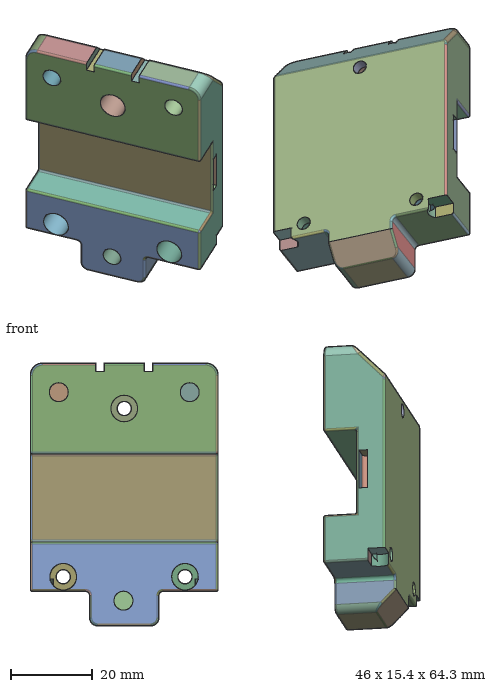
import cadquery as cq
import math

WIDTH = 46.0
DEPTH = 15.35
HEIGHT = 64.3

BODY_BOTTOM = 8.4
TAB_WIDTH = 17.0
TOP_CORNER_RADIUS = 3.0
TAB_CORNER_RADIUS = 2.0
TAB_ROOT_RADIUS = 1.0

TOP_BEVEL = 8.4
TAB_BEVEL = 5.15
CHANNEL_DEPTH = 8.2
CHANNEL_BOTTOM = 20.6
CHANNEL_TOP = 42.05

EDGE_RADIUS = 0.5
BEVEL_EDGE_RADIUS = 0.95
CHANNEL_CORNER_RADIUS = 0.45
TOLERANCE = 0.005

SCREW_DIAMETER = 3.4
HEAD_DIAMETER = 6.5
HEAD_SEAT = 3.0
SCREW_POSITIONS = [(0, 53.2), (-14.9, 12.0), (14.85, 12.0)]

PIN_DIAMETER = 4.6
PIN_DEPTH = 10.0
PIN_POSITIONS = [(-16.0, 57.15), (16.0, 57.15), (-0.2, 6.2)]

GROOVE_WIDTH = 2.0
GROOVE_DEPTH = 2.05
GROOVE_OFFSET = 5.9

RECESS_DEPTH = 4.3
RECESS_TOP = 11.45
RECESS_END_RADIUS = 3.0
RECESS_END = 17.3

SLOT_BACK = 4.4
SLOT_FRONT = 6.5
SLOT_BOTTOM = 27.0
SLOT_TOP = 36.65
SLOT_LENGTH = 5.15
SLOT_CORNER_RADIUS = 1.1


def box(x_range, y_range, z_range):
    corner = (x_range[0], y_range[0], z_range[0])
    size = (x_range[1] - x_range[0], y_range[1] - y_range[0], z_range[1] - z_range[0])
    return cq.Workplane("XY").box(*size, centered=False).translate(corner)


def front_bore(position, diameter, depth):
    x, z = position
    return cq.Workplane("XZ", origin=(x, 0, z)).circle(diameter / 2).extrude(-depth)


def make_body():
    """Tabbed front outline crossed with the bevelled, channelled side profile."""
    half, tab_half = WIDTH / 2, TAB_WIDTH / 2
    outline = (
        cq.Workplane("XZ")
        .polyline([
            (-half, HEIGHT), (-half, BODY_BOTTOM), (-tab_half, BODY_BOTTOM), (-tab_half, 0),
            (tab_half, 0), (tab_half, BODY_BOTTOM), (half, BODY_BOTTOM), (half, HEIGHT),
        ])
        .close()
        .extrude(-DEPTH)
    )
    outline = outline.edges("|Y and >Z").fillet(TOP_CORNER_RADIUS)
    outline = outline.edges("|Y and <Z").fillet(TAB_CORNER_RADIUS)
    roots = cq.selectors.BoxSelector(
        (-tab_half - TOLERANCE, 0, BODY_BOTTOM - TOLERANCE),
        (tab_half + TOLERANCE, DEPTH, BODY_BOTTOM + TOLERANCE),
    )
    outline = outline.edges("|Y").edges(roots).fillet(TAB_ROOT_RADIUS)

    profile = (
        cq.Workplane("YZ", origin=(-half, 0, 0))
        .polyline([
            (0, 0), (DEPTH - TAB_BEVEL, 0), (DEPTH, TAB_BEVEL),
            (DEPTH, HEIGHT - TOP_BEVEL), (DEPTH - TOP_BEVEL, HEIGHT), (0, HEIGHT),
            (0, CHANNEL_TOP), (CHANNEL_DEPTH, CHANNEL_TOP),
            (CHANNEL_DEPTH, CHANNEL_BOTTOM), (0, CHANNEL_BOTTOM),
        ])
        .close()
        .extrude(WIDTH)
    )
    return outline.intersect(profile)


def round_edges(body):
    """Round the top bevel, then the other outer edges, then the channel's inner corners."""
    def on_bevel_rim(edge):
        return edge.Center().y < DEPTH - TOLERANCE

    def is_channel_corner(edge):
        center = edge.Center()
        return (
            abs(edge.tangentAt(0.5).x) > 0.65 - TOLERANCE
            and abs(center.y - CHANNEL_DEPTH) < TOLERANCE
            and CHANNEL_BOTTOM - TOLERANCE < center.z < CHANNEL_TOP + TOLERANCE
        )

    def takes_small_radius(edge):
        if is_channel_corner(edge):
            return False
        center = edge.Center()
        direction = edge.tangentAt(0.5)
        in_front = center.y < TOLERANCE
        in_channel = (
            center.y < CHANNEL_DEPTH + TOLERANCE
            and CHANNEL_BOTTOM - TOLERANCE < center.z < CHANNEL_TOP + TOLERANCE
        )
        back_side = (
            center.y > DEPTH - TOLERANCE
            and TAB_BEVEL + TOLERANCE < center.z < HEIGHT - TOP_BEVEL - TOLERANCE
        )
        is_oblique = TOLERANCE < abs(direction.y) < 0.65 - TOLERANCE
        tab_bevel_side = center.z < TAB_BEVEL and is_oblique
        shoulder_end = (
            abs(center.z - BODY_BOTTOM) < TOLERANCE
            and abs(center.x) > WIDTH / 2 - TOLERANCE
        )
        return in_front or in_channel or back_side or tab_bevel_side or shoulder_end

    top_bevel = body.faces(cq.selectors.ParallelDirSelector(cq.Vector(0, 1, 1)))
    body = top_bevel.edges().filter(on_bevel_rim).fillet(BEVEL_EDGE_RADIUS)
    body = body.edges().filter(takes_small_radius).fillet(EDGE_RADIUS)
    return body.edges().filter(is_channel_corner).fillet(CHANNEL_CORNER_RADIUS)


def make_holes():
    """Counterbored screw holes and blind pin holes."""
    holes = cq.Workplane("XY")
    for position in SCREW_POSITIONS:
        holes = holes.add(front_bore(position, SCREW_DIAMETER, DEPTH))
        holes = holes.add(front_bore(position, HEAD_DIAMETER, DEPTH - HEAD_SEAT))
    for position in PIN_POSITIONS:
        holes = holes.add(front_bore(position, PIN_DIAMETER, PIN_DEPTH))
    return holes.combine()


def make_groove(x):
    """Groove running front to back across the top face."""
    return box(
        (x - GROOVE_WIDTH / 2, x + GROOVE_WIDTH / 2), (0, DEPTH), (HEIGHT - GROOVE_DEPTH, HEIGHT)
    )


def make_recess():
    """Right-hand corner recess: a straight pocket ending in a shallow arc."""
    front_wall = DEPTH - RECESS_DEPTH
    arc_height = RECESS_END_RADIUS - math.sqrt(RECESS_END_RADIUS**2 - (RECESS_DEPTH / 2) ** 2)
    arc_end = RECESS_END + arc_height
    return (
        cq.Workplane("XY", origin=(0, 0, BODY_BOTTOM))
        .moveTo(arc_end, front_wall)
        .threePointArc((RECESS_END, DEPTH - RECESS_DEPTH / 2), (arc_end, DEPTH))
        .lineTo(WIDTH / 2, DEPTH)
        .lineTo(WIDTH / 2, front_wall)
        .close()
        .extrude(RECESS_TOP - BODY_BOTTOM)
    )


def make_slot():
    """Right-hand side slot, rounded at its inner front corner."""
    slot = box(
        (WIDTH / 2 - SLOT_LENGTH, WIDTH / 2),
        (DEPTH - SLOT_FRONT, DEPTH - SLOT_BACK),
        (SLOT_BOTTOM, SLOT_TOP),
    )
    return slot.edges("|Z and <X and <Y").fillet(SLOT_CORNER_RADIUS)


result = round_edges(make_body()).cut(make_holes())
for groove_x in (-GROOVE_OFFSET, GROOVE_OFFSET):
    result = result.cut(make_groove(groove_x))
for side_cut in (make_recess(), make_slot()):
    result = result.cut(side_cut).cut(side_cut.mirror("YZ"))